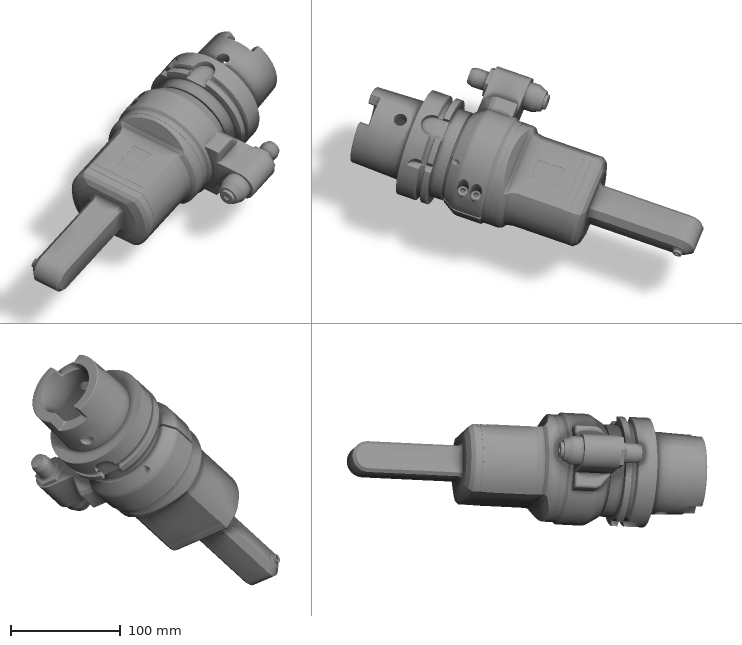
import cadquery as cq
import math


overall_length = 326.0
overall_width = 147.3

margin = 0.3

shank_end_y = 50.0
shank_end_radius = 36.2
shank_base_diameter = 76.0
shank_base_radius = shank_base_diameter / 2
shank_end_chamfer = 0.5
relief_width = 1.5
relief_depth = 0.5
shank_bore_diameter = 53.0
shank_bore_radius = shank_bore_diameter / 2
shank_bore_bottom_y = 0.0
shank_hole_diameter = 12.0
shank_hole_y = 14.7
drive_inner_width = 20.5
drive_inner_half_width = drive_inner_width / 2
drive_outer_width = 32.3
drive_outer_half_width = drive_outer_width / 2
drive_outer_z = 32.3
drive_top_floor_y = 39.8
drive_bottom_floor_y = 35.5
drive_corner_radius = 2.0

flange_diameter = 100.0
flange_radius = flange_diameter / 2
flange_end_y = -29.0
groove_radius = 46.0
groove_outer_top_y = -17.3
groove_inner_top_y = -18.5
groove_inner_bottom_y = -22.5
groove_outer_bottom_y = -23.5
key_slot_width = 20.5
key_slot_end_y = -6.0
key_slot_floor_z = 44.0
notch_wall_x = -32.0
notch_floor_z = 32.3
notch_radius = 7.8
notch_end_y = -6.0

collar_radius = 42.0
collar_end_y = -41.0
neck_diameter = 78.5
neck_radius = neck_diameter / 2
ring_top_y = -44.0
ring_bottom_y = -83.0
seat_radius = 36.5
vent_angle = 30
vent_slot_width = 7.0
vent_slot_depth = 1.5

head_diameter = 98.0
head_radius = head_diameter / 2
barrel_radius = 43.0
head_seam_y = -89.5
head_shoulder_y = -97.8
head_edge_radius = 48.2
head_edge_y = -100.5
barrel_cone_radius = 44.3
barrel_cone_y = -103.3
barrel_start_y = -109.8
barrel_seam_y = -161.3
barrel_edge_y = -167.8
barrel_bevel_y = -171.5
barrel_end_y = -174.0
barrel_bevel_radius = 40.0
barrel_end_radius = 31.3
seam_width = 1.0
seam_depth = 0.3
across_flats = 63.5
flat_z = across_flats / 2
flat_slope_start_y = -93.2
flat_slope_end_y = -99.0
flat_slope_end_z = 35.0
flat_start_y = -102.0
front_flat_start_y = -154.0
front_flat_drop = 0.3
flat_bevel_z = 29.0
flat_end_z = 24.0
label_width = 19.2
label_top_y = -115.7
label_bottom_y = -142.5
label_depth = 0.3

blade_tip_y = shank_end_y - overall_length
blade_half_height = 14.5
blade_left_x = -17.0
blade_right_x = 15.3
blade_left_chamfer = 5.2
blade_left_chamfer_height = 6.5
blade_right_chamfer = 3.0
blade_root_fillet = 3.5
blade_root_depth = 3.3
blade_axis_y = blade_tip_y + blade_half_height
nose_y = -262.5
nose_base_diameter = 12.0
nose_root_depth = 1.5
nose_base_end_x = -18.2
nose_diameter = 8.5
nose_end_x = -20.5
nose_socket_diameter = 5.0
nose_socket_depth = 2.5
nose_center_diameter = 2.5
nose_center_depth = 4.0

ring_diameter = 102.0
ring_radius = ring_diameter / 2
ring_top_radius = 43.7
ring_cone_end_radius = 50.0
ring_cone_end_y = -54.0
ring_round_end_y = -58.0
ring_chamfer = 2.0
slit_width = 2.5
arm_bottom_y = -78.2
shoulder_root_x = 39.0
shoulder_start_x = 42.0
shoulder_end_x = 57.5
shoulder_fillet = 2.5
arm_end_x = overall_width - ring_radius
arm_height = 30.3
arm_half_height = arm_height / 2
pin_hole_diameter = 18.0
vent_radius = 46.3
vent_diameter = 5.0
vent_bottom_y = -51.8

screw_x = -40.7
screw_ys = (-61.5, -74.3)
screw_head_diameter = 10.0
screw_head_top_z = 24.5
screw_head_height = 6.0
screw_seat_z = screw_head_top_z - screw_head_height
screw_head_chamfer = 1.0
screw_shank_diameter = 6.0
screw_bottom_z = -16.3
screw_socket_flats = 5.0
screw_socket_depth = 3.0
screw_bore_diameter = 11.0
screw_clearance_diameter = 6.5

pin_x = 80.0
pin_top_y = -22.5
pin_round_y = -27.5
pin_top_radius = 7.2
pin_nut_top_y = -40.0
pin_collar_top_y = -38.8
pin_collar_radius = 10.5
pin_nut_corner_diameter = 30.0
pin_head_radius = 13.0
pin_head_round_y = -86.5
pin_head_edge_y = -88.0
pin_head_edge_radius = 12.7
pin_cone_end_y = -95.0
pin_cone_end_radius = 9.5
pin_tip_radius = 7.2
pin_tip_y = -98.0
pin_socket_flats = 5.0
pin_socket_depth = 3.3


def turned(points):
    """Solid of revolution about the Y axis from (radius, y) points."""
    return cq.Workplane("XY").polyline(points).close().revolve(360, (0, 0, 0), (0, 1, 0))


def block(x_range, y_range, z_range):
    """Axis-aligned box from its limits."""
    size = [high - low for low, high in (x_range, y_range, z_range)]
    middle = [(high + low) / 2 for low, high in (x_range, y_range, z_range)]
    return cq.Workplane("XY").box(*size).translate(tuple(middle))


def rod_y(x, z, diameter, y_top, y_bottom):
    """Cylinder along Y."""
    base = cq.Workplane("XZ", origin=(x, y_top, z))
    return base.circle(diameter / 2).extrude(y_top - y_bottom)


def rod_z(x, y, diameter, z_bottom, z_top):
    """Cylinder along Z."""
    base = cq.Workplane("XY", origin=(x, y, z_bottom))
    return base.circle(diameter / 2).extrude(z_top - z_bottom)


def mirrored_in_z(shape):
    """The shape together with its mirror image below the XY plane."""
    return shape.union(shape.mirror("XY"))


def turned_body():
    outline = [
        (0, shank_end_y),
        (shank_end_radius - shank_end_chamfer, shank_end_y),
        (shank_end_radius, shank_end_y - shank_end_chamfer),
        (shank_base_radius, relief_width),
        (shank_base_radius - relief_depth, relief_width),
        (shank_base_radius - relief_depth, 0),
        (flange_radius, 0),
        (flange_radius, groove_outer_top_y),
        (groove_radius, groove_inner_top_y),
        (groove_radius, groove_inner_bottom_y),
        (flange_radius, groove_outer_bottom_y),
        (flange_radius, flange_end_y),
        (collar_radius, flange_end_y),
        (collar_radius, collar_end_y),
        (neck_radius, collar_end_y),
        (neck_radius, ring_top_y),
        (seat_radius, ring_top_y),
        (seat_radius, ring_bottom_y),
        (head_radius, ring_bottom_y),
        (head_radius, head_shoulder_y),
        (head_edge_radius, head_edge_y),
        (barrel_cone_radius, barrel_cone_y),
        (barrel_radius, barrel_start_y),
        (barrel_radius, barrel_edge_y),
        (barrel_bevel_radius, barrel_bevel_y),
        (barrel_end_radius, barrel_end_y),
        (0, barrel_end_y),
    ]
    return turned(outline)


def drive_slot(floor_y):
    """Flared slot through the +Z wall of the shank end."""
    outline = [
        (-drive_inner_half_width, 0),
        (-drive_inner_half_width, shank_bore_radius),
        (-drive_outer_half_width, drive_outer_z),
        (-drive_outer_half_width, flange_radius),
        (drive_outer_half_width, flange_radius),
        (drive_outer_half_width, drive_outer_z),
        (drive_inner_half_width, shank_bore_radius),
        (drive_inner_half_width, 0),
    ]
    base = cq.Workplane("XZ", origin=(0, shank_end_y, 0))
    slot = base.polyline(outline).close().extrude(shank_end_y - floor_y)
    return slot.faces("<Y").edges("(not #Z) and (not |X)").fillet(drive_corner_radius)


def key_slot():
    """Round-ended flat slot in the flange, at +Z."""
    radius = key_slot_width / 2
    center_y = key_slot_end_y - radius
    slot = rod_z(0, center_y, key_slot_width, key_slot_floor_z, ring_radius)
    return slot.union(block((-radius, radius), (flange_end_y, center_y), (key_slot_floor_z, ring_radius)))


def orientation_notch():
    """Flat-floored notch milled into the flange at the upper -X side."""
    center_x = notch_wall_x - notch_radius
    center_y = notch_end_y - notch_radius
    notch = rod_z(center_x, center_y, 2 * notch_radius, notch_floor_z, flange_radius)
    straight = block((-flange_radius, notch_wall_x), (flange_end_y, center_y), (notch_floor_z, flange_radius))
    return notch.union(straight)


def vent_slot():
    """Shallow slot across the neck, turned to the vent angle."""
    half = vent_slot_width / 2
    slot = block((-half, half), (ring_top_y, collar_end_y), (neck_radius - vent_slot_depth, collar_radius))
    return slot.rotate((0, 0, 0), (0, 1, 0), -vent_angle)


def flat_cutter():
    """Material removed above the upper flat of the head."""
    front_flat_z = flat_z - front_flat_drop
    outline = [
        (flat_slope_start_y, head_radius),
        (flat_slope_end_y, flat_slope_end_z),
        (flat_start_y, flat_z),
        (front_flat_start_y, flat_z),
        (front_flat_start_y, front_flat_z),
        (barrel_edge_y, front_flat_z),
        (barrel_bevel_y, flat_bevel_z),
        (barrel_end_y, flat_end_z),
        (barrel_end_y, ring_radius),
        (flat_slope_start_y, ring_radius),
    ]
    return cq.Workplane("YZ").polyline(outline).close().extrude(ring_radius, both=True)


def barrel_seam():
    """Shallow groove around the flatted barrel."""
    low_y = barrel_seam_y - seam_width / 2
    high_y = barrel_seam_y + seam_width / 2
    inner_z = flat_z - front_flat_drop - seam_depth
    inner = rod_y(0, 0, 2 * (barrel_radius - seam_depth), high_y, low_y)
    inner = inner.intersect(block((-ring_radius, ring_radius), (low_y, high_y), (-inner_z, inner_z)))
    return block((-ring_radius, ring_radius), (low_y, high_y), (-ring_radius, ring_radius)).cut(inner)


def head_seam():
    """Shallow groove around the head."""
    low_y = head_seam_y - seam_width / 2
    high_y = head_seam_y + seam_width / 2
    inner = head_radius - seam_depth
    return turned([(inner, low_y), (ring_radius, low_y), (ring_radius, high_y), (inner, high_y)])


def blade():
    """Round-ended bar with bevelled side faces, rooted inside the barrel."""
    blade_root_y = barrel_end_y + blade_root_depth
    bar = (
        cq.Workplane("YZ", origin=(blade_left_x, 0, 0))
        .moveTo(blade_root_y, blade_half_height)
        .lineTo(blade_axis_y, blade_half_height)
        .threePointArc((blade_tip_y, 0), (blade_axis_y, -blade_half_height))
        .lineTo(blade_root_y, -blade_half_height)
        .close()
        .extrude(blade_right_x - blade_left_x)
    )
    bar = bar.faces("<X").edges("not(>Y)").chamfer(blade_left_chamfer, blade_left_chamfer_height)
    return bar.faces(">X").edges("not(>Y)").chamfer(blade_right_chamfer)


def spindle_nose():
    """Stepped nose on the -X side of the blade tip."""
    outline = [
        (blade_left_x + nose_root_depth, 0),
        (blade_left_x + nose_root_depth, nose_base_diameter / 2),
        (blade_left_x, nose_base_diameter / 2),
        (nose_base_end_x, nose_diameter / 2),
        (nose_end_x, nose_diameter / 2),
        (nose_end_x, 0),
    ]
    nose = cq.Workplane("XY").polyline(outline).close().revolve(360, (0, 0, 0), (1, 0, 0))
    end = cq.Workplane("YZ", origin=(nose_end_x, 0, 0))
    nose = nose.cut(end.circle(nose_socket_diameter / 2).extrude(nose_socket_depth))
    nose = nose.cut(end.circle(nose_center_diameter / 2).extrude(nose_center_depth))
    return nose.translate((0, nose_y, 0))


def tool_body():
    body = turned_body()
    body = body.cut(rod_y(0, 0, shank_bore_diameter, shank_end_y, shank_bore_bottom_y))
    body = body.cut(drive_slot(drive_top_floor_y))
    body = body.cut(drive_slot(drive_bottom_floor_y).mirror("XY"))
    body = body.cut(rod_z(0, shank_hole_y, shank_hole_diameter, -flange_radius, flange_radius))
    body = body.cut(mirrored_in_z(key_slot()))
    body = body.cut(orientation_notch())
    body = body.cut(mirrored_in_z(vent_slot()))
    body = body.cut(mirrored_in_z(flat_cutter()))
    body = body.cut(head_seam())
    body = body.cut(barrel_seam())
    half_label = label_width / 2
    label = block((-half_label, half_label), (label_bottom_y, label_top_y), (flat_z - label_depth, flat_z))
    body = body.cut(label)
    body = body.union(blade())
    root_outline = cq.selectors.BoxSelector(
        (blade_left_x - margin, barrel_end_y - margin, -blade_half_height - margin),
        (blade_right_x + margin, barrel_end_y + margin, blade_half_height + margin),
    )
    body = body.edges(root_outline).fillet(blade_root_fillet)
    return body.union(spindle_nose())


def plain_ring():
    """Ring with a coned top rounded into the outer wall and a bevelled bottom."""
    round_middle_radius = ring_radius - (ring_radius - ring_cone_end_radius) / 4
    round_middle_y = (ring_cone_end_y + ring_round_end_y) / 2
    return (
        cq.Workplane("XY")
        .moveTo(seat_radius, ring_top_y)
        .lineTo(ring_top_radius, ring_top_y)
        .lineTo(ring_cone_end_radius, ring_cone_end_y)
        .threePointArc((round_middle_radius, round_middle_y), (ring_radius, ring_round_end_y))
        .lineTo(ring_radius, ring_bottom_y + ring_chamfer)
        .lineTo(ring_radius - ring_chamfer, ring_bottom_y)
        .lineTo(seat_radius, ring_bottom_y)
        .close()
        .revolve(360, (0, 0, 0), (0, 1, 0))
    )


def half_height_at(radius):
    """Half height of the ring, where its radius is given, in the plane where the shoulder starts."""
    return math.sqrt(radius**2 - shoulder_start_x**2)


def arm_shoulder():
    """Block that carries the ring's section straight out toward +X, with its far edges rounded."""
    upper = [
        (ring_top_y, arm_half_height),
        (ring_cone_end_y, half_height_at(ring_cone_end_radius)),
        (ring_round_end_y, half_height_at(ring_radius)),
        (arm_bottom_y, half_height_at(ring_radius)),
    ]
    lower = [(y, -z) for y, z in reversed(upper)]
    base = cq.Workplane("YZ", origin=(shoulder_root_x, 0, 0))
    shoulder = base.polyline(upper + lower).close().extrude(shoulder_end_x - shoulder_root_x)
    return shoulder.faces(">X").edges("not(>Y)").fillet(shoulder_fillet)


def arm():
    """Round-ended arm with the hole for the torque pin."""
    round_x = arm_end_x - arm_half_height
    bar = block((shoulder_root_x, round_x), (arm_bottom_y, ring_top_y), (-arm_half_height, arm_half_height))
    bar = bar.union(rod_y(round_x, 0, arm_height, ring_top_y, arm_bottom_y))
    return bar.cut(rod_y(pin_x, 0, pin_hole_diameter, ring_top_y, arm_bottom_y))


def vent_hole():
    """Blind hole along Y that breaks out through the ring's cone."""
    angle = math.radians(vent_angle)
    x = -vent_radius * math.sin(angle)
    z = vent_radius * math.cos(angle)
    return rod_y(x, z, vent_diameter, ring_top_y, vent_bottom_y)


def screw_hole(y):
    """Counterbore, clearance hole above the slit and threaded hole below it."""
    hole = rod_z(screw_x, y, screw_bore_diameter, screw_seat_z, ring_radius)
    hole = hole.union(rod_z(screw_x, y, screw_clearance_diameter, 0, screw_seat_z))
    return hole.union(rod_z(screw_x, y, screw_shank_diameter, screw_bottom_z, 0))


def ring_with_arm():
    slit = block((-ring_radius, 0), (ring_bottom_y, ring_top_y), (-slit_width / 2, slit_width / 2))
    ring = plain_ring().union(arm_shoulder()).union(arm())
    ring = ring.cut(slit)
    ring = ring.cut(mirrored_in_z(vent_hole()))
    for y in screw_ys:
        ring = ring.cut(screw_hole(y))
    return ring


def clamp_screw(y):
    """Socket-head screw along Z."""
    head = rod_z(screw_x, y, screw_head_diameter, screw_seat_z, screw_head_top_z)
    head = head.faces(">Z").chamfer(screw_head_chamfer)
    socket = (
        cq.Workplane("XY", origin=(screw_x, y, screw_head_top_z))
        .polygon(6, screw_socket_flats / math.cos(math.pi / 6))
        .extrude(-screw_socket_depth)
    )
    return head.union(rod_z(screw_x, y, screw_shank_diameter, screw_bottom_z, screw_seat_z)).cut(socket)


def torque_pin():
    shank_radius = pin_hole_diameter / 2
    outline = [
        (0, pin_top_y),
        (pin_top_radius, pin_top_y),
        (shank_radius, pin_round_y),
        (shank_radius, pin_collar_top_y),
        (pin_collar_radius, pin_nut_top_y),
        (shank_radius, pin_nut_top_y),
        (shank_radius, arm_bottom_y),
        (pin_head_radius, arm_bottom_y),
        (pin_head_radius, pin_head_round_y),
        (pin_head_edge_radius, pin_head_edge_y),
        (pin_cone_end_radius, pin_cone_end_y),
        (pin_tip_radius, pin_cone_end_y),
        (pin_tip_radius, pin_tip_y),
        (0, pin_tip_y),
    ]
    nut = (
        cq.Workplane("XZ", origin=(0, pin_nut_top_y, 0))
        .polygon(6, pin_nut_corner_diameter)
        .extrude(pin_nut_top_y - ring_top_y)
    )
    socket = (
        cq.Workplane("XZ", origin=(0, pin_tip_y, 0))
        .polygon(6, pin_socket_flats / math.cos(math.pi / 6))
        .extrude(-pin_socket_depth)
    )
    return turned(outline).union(nut).cut(socket).translate((pin_x, 0, 0))


body = tool_body()
ring = ring_with_arm()
screws = [clamp_screw(y) for y in screw_ys]
pin = torque_pin()

result = cq.Compound.makeCompound([body.val(), ring.val(), *[screw.val() for screw in screws], pin.val()])